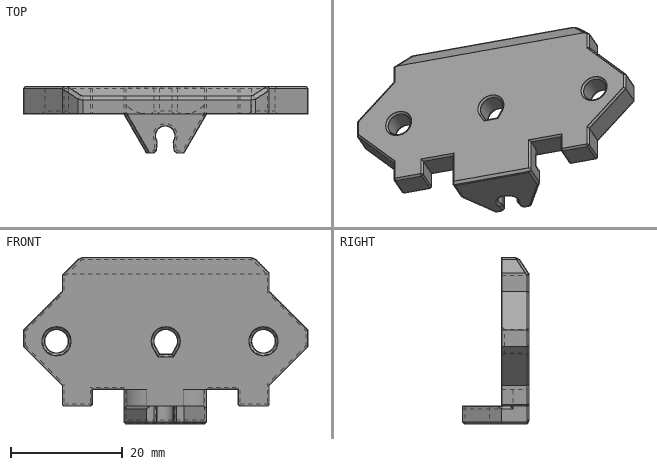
import cadquery as cq
import math

plate_thickness = 4.9
top_z = 15.0
body_half_width = 18.5
lug_half_width = 25.42
lug_top_z = 2.0
lug_bottom_z = -0.95
foot_bottom_z = -11.6
left_corner_cut = 3.2
right_corner_cut = 2.8
rear_chamfer = 0.35
foot_chamfer = 0.3

bevel_depth = 1.95
bevel_height = 3.0
bevel_edge_chamfer = 0.5

hole_diameter = 4.2
hole_chamfer = 0.5
side_hole_xs = (-19.53, 17.47)
teardrop_flank_angle = 30.0
teardrop_flat_drop = 2.3

hook_center_x = -0.1
notch_half_width = 13.03
notch_top_z = -8.58
hook_half_width = 7.4
hook_tip_half_width = 3.35
hook_reach = 7.0
hook_bottom_z = -14.81
hook_top_z = foot_bottom_z
hook_chamfer = 0.5
hook_bottom_chamfer = 0.4
web_bottom_z = hook_top_z - hook_chamfer
web_flat_half_width = 3.3
web_round_radius = 5.0
web_round_angle = 45.0

slot_radius = 1.73
slot_center_y = -3.9
slot_inner_half_width = 1.33
slot_mouth_half_width = 1.6
slot_mouth_chamfer = 0.43
slot_neck_fillet = 1.0

margin = 0.2


def make_plate():
    lug_run = lug_half_width - body_half_width
    right_edge = [
        (body_half_width - right_corner_cut, top_z),
        (body_half_width, top_z - right_corner_cut),
        (body_half_width, lug_top_z + lug_run),
        (lug_half_width, lug_top_z),
        (lug_half_width, lug_bottom_z),
        (body_half_width, lug_bottom_z - lug_run),
        (body_half_width, foot_bottom_z),
    ]
    notch = [
        (hook_center_x + notch_half_width, foot_bottom_z),
        (hook_center_x + notch_half_width, notch_top_z),
        (hook_center_x - notch_half_width, notch_top_z),
        (hook_center_x - notch_half_width, foot_bottom_z),
    ]
    left_edge = [
        (-body_half_width, foot_bottom_z),
        (-body_half_width, lug_bottom_z - lug_run),
        (-lug_half_width, lug_bottom_z),
        (-lug_half_width, lug_top_z),
        (-body_half_width, lug_top_z + lug_run),
        (-body_half_width, top_z - left_corner_cut),
        (-body_half_width + left_corner_cut, top_z),
    ]
    outline = cq.Workplane("XZ").polyline(right_edge + notch + left_edge).close()
    return outline.extrude(-plate_thickness)


def chamfer_feet(plate):
    foot_corners = cq.selectors.BoxSelector(
        (-lug_half_width, 0, foot_bottom_z - foot_chamfer),
        (lug_half_width, plate_thickness, foot_bottom_z + foot_chamfer),
    )
    return plate.edges("|Y").edges(foot_corners).chamfer(foot_chamfer)


def bevel_top(plate):
    """Cut the sloping bevel, then break the edges where it meets the top and the cut corners."""
    bevel = (
        cq.Workplane("YZ")
        .polyline([
            (plate_thickness, top_z),
            (plate_thickness - bevel_depth, top_z),
            (plate_thickness, top_z - bevel_height),
        ])
        .close()
        .extrude(lug_half_width, both=True)
    )
    beveled = plate.cut(bevel)
    broken_edges = cq.selectors.BoxSelector(
        (-body_half_width, margin, top_z - bevel_height + margin),
        (body_half_width, plate_thickness, top_z + margin),
    )
    return beveled.edges(broken_edges).chamfer(bevel_edge_chamfer)


def chamfer_rear(plate):
    """Chamfer the rear outline below the bevel."""
    below_bevel = cq.selectors.BoxSelector(
        (-2 * lug_half_width, 0, hook_bottom_z - margin),
        (2 * lug_half_width, 2 * plate_thickness, top_z - bevel_height - bevel_edge_chamfer),
    )
    return plate.faces(">Y").edges().edges(below_bevel).chamfer(rear_chamfer)


def cut_holes(plate):
    """Cut two round side holes and the teardrop centre hole, then chamfer their front mouths."""
    radius = hole_diameter / 2
    side_holes = (
        cq.Workplane("XZ")
        .pushPoints([(x, 0) for x in side_hole_xs])
        .circle(radius)
        .extrude(-plate_thickness)
    )
    slope = math.radians(teardrop_flank_angle)
    tangent_x = radius * math.cos(slope)
    tangent_z = -radius * math.sin(slope)
    flat_half_width = tangent_x - (teardrop_flat_drop + tangent_z) * math.tan(slope)
    teardrop = (
        cq.Workplane("XZ")
        .moveTo(tangent_x, tangent_z)
        .threePointArc((0, radius), (-tangent_x, tangent_z))
        .lineTo(-flat_half_width, -teardrop_flat_drop)
        .lineTo(flat_half_width, -teardrop_flat_drop)
        .close()
        .extrude(-plate_thickness)
    )
    drilled = plate.cut(side_holes).cut(teardrop)
    hole_band = cq.selectors.BoxSelector(
        (-lug_half_width + margin, -margin, -hole_diameter),
        (lug_half_width - margin, margin, hole_diameter),
    )
    return drilled.faces("<Y").edges(hole_band).chamfer(hole_chamfer)


def make_web():
    """Column joining plate and hook; its front corners are rounded into 45 degree flats."""
    angle = math.radians(web_round_angle)
    round_end_x = web_flat_half_width + web_round_radius * math.sin(angle)
    round_end_y = web_round_radius * (1 - math.cos(angle))
    round_mid_x = web_flat_half_width + web_round_radius * math.sin(angle / 2)
    round_mid_y = web_round_radius * (1 - math.cos(angle / 2))
    side_y = round_end_y + (hook_half_width - round_end_x) * math.tan(angle)
    return (
        cq.Workplane("XY", origin=(hook_center_x, 0, web_bottom_z))
        .moveTo(-web_flat_half_width, 0)
        .lineTo(web_flat_half_width, 0)
        .threePointArc((round_mid_x, round_mid_y), (round_end_x, round_end_y))
        .lineTo(hook_half_width, side_y)
        .lineTo(hook_half_width, plate_thickness)
        .lineTo(-hook_half_width, plate_thickness)
        .lineTo(-hook_half_width, side_y)
        .lineTo(-round_end_x, round_end_y)
        .threePointArc((-round_mid_x, round_mid_y), (-web_flat_half_width, 0))
        .close()
        .extrude(notch_top_z - web_bottom_z)
    )


def make_hook():
    """Flat tongue that tapers forward, with a keyhole slot open at its tip."""
    height = hook_top_z - hook_bottom_z
    tongue = (
        cq.Workplane("XY", origin=(hook_center_x, 0, hook_bottom_z))
        .polyline([
            (-hook_half_width, plate_thickness),
            (-hook_half_width, 0),
            (-hook_tip_half_width, -hook_reach),
            (hook_tip_half_width, -hook_reach),
            (hook_half_width, 0),
            (hook_half_width, plate_thickness),
        ])
        .close()
        .extrude(height)
    )
    return cut_slot(chamfer_upper_edges(tongue))


def cut_slot(tongue):
    """Cut a round seat with a flared entry, ease its corners and chamfer the whole underside."""
    height = hook_top_z - hook_bottom_z
    slot_plane = cq.Workplane("XY", origin=(hook_center_x, 0, hook_bottom_z))
    seat = slot_plane.center(0, slot_center_y).circle(slot_radius).extrude(height)
    entry = (
        slot_plane.polyline([
            (-slot_inner_half_width, slot_center_y),
            (-slot_mouth_half_width, -hook_reach),
            (slot_mouth_half_width, -hook_reach),
            (slot_inner_half_width, slot_center_y),
        ])
        .close()
        .extrude(height)
    )
    slotted = tongue.cut(seat.union(entry))
    slotted = slotted.edges("|Z").edges(slot_corner_box(-hook_reach, margin)).chamfer(slot_mouth_chamfer)
    slotted = slotted.edges("|Z").edges(slot_corner_box(slot_center_y, slot_radius)).fillet(slot_neck_fillet)
    return slotted.faces("<Z").edges().chamfer(hook_bottom_chamfer)


def slot_corner_box(y, half_depth):
    """Box across the slot's width, reaching half_depth to either side of y."""
    return cq.selectors.BoxSelector(
        (hook_center_x - slot_radius, y - half_depth, hook_bottom_z),
        (hook_center_x + slot_radius, y + half_depth, hook_top_z),
    )


def chamfer_upper_edges(tongue):
    """Chamfer the upper edges of both sides and the left flank."""
    side_edges = tongue.faces(">Z").edges("|Y")
    left_flank = cq.selectors.BoxSelector(
        (-hook_half_width, -hook_reach + margin, hook_top_z - margin),
        (-hook_tip_half_width, -margin, hook_top_z + margin),
    )
    upper_edges = side_edges.add(tongue.faces(">Z").edges(left_flank))
    return upper_edges.chamfer(hook_chamfer)


plate = cut_holes(bevel_top(chamfer_feet(make_plate())))
result = chamfer_rear(plate.union(make_web()).union(make_hook()))